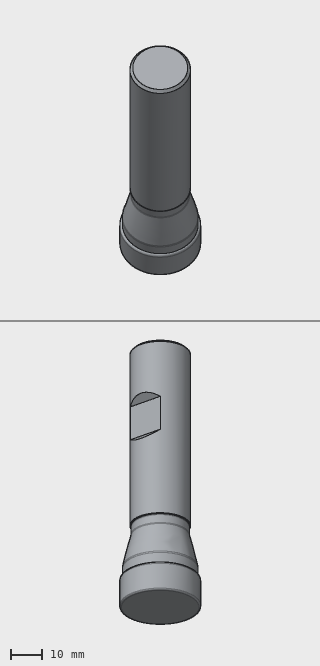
import cadquery as cq

total_height = 88.9
tip_height = 10.0
collar_top = 13.3
cone_bottom = 13.9
cone_top = 24.7
neck_bottom = 25.1
neck_top = 27.8
shank_bottom = 28.2

tip_radius = 25.4 / 2
collar_radius = 23.8 / 2
neck_radius = 18.4 / 2
shank_radius = 19.0 / 2

tip_top_fillet = tip_radius - collar_radius
tip_bottom_fillet = 0.5
shank_chamfer = 0.9
shank_bottom_chamfer = 0.2
cone_bulge = 0.1
joint_taper = 0.045

notch_depth = 2.1
notch_floor_bottom = 57.4
notch_floor_top = 68.9


def make_tip():
    """Round striking tip with rounded rims."""
    tip = cq.Workplane("XY").circle(tip_radius).extrude(tip_height)
    tip = tip.faces(">Z").edges().fillet(tip_top_fillet)
    return tip.faces("<Z").edges().fillet(tip_bottom_fillet)


def revolve_holder():
    """Turned holder: collar, slightly convex cone, neck and chamfered shank."""
    cone_bottom_radius = collar_radius - joint_taper
    cone_top_radius = neck_radius + joint_taper
    cone_middle = (
        (cone_bottom_radius + cone_top_radius) / 2 + cone_bulge,
        (cone_bottom + cone_top) / 2,
    )
    return (
        cq.Workplane("XZ")
        .moveTo(0, tip_height)
        .lineTo(collar_radius, tip_height)
        .lineTo(collar_radius, collar_top)
        .lineTo(cone_bottom_radius, cone_bottom)
        .threePointArc(cone_middle, (cone_top_radius, cone_top))
        .lineTo(neck_radius, neck_bottom)
        .lineTo(neck_radius, neck_top)
        .lineTo(neck_radius - joint_taper, shank_bottom)
        .lineTo(shank_radius - shank_bottom_chamfer, shank_bottom)
        .lineTo(shank_radius, shank_bottom + shank_bottom_chamfer)
        .lineTo(shank_radius, total_height - shank_chamfer)
        .lineTo(shank_radius - shank_chamfer, total_height)
        .lineTo(0, total_height)
        .close()
        .revolve(360, (0, 0), (0, 1))
    )


def make_notch_cutter():
    """Trapezoid across the shank that opens outward at 45 degrees."""
    floor = shank_radius - notch_depth
    return (
        cq.Workplane("YZ")
        .moveTo(floor, notch_floor_bottom)
        .lineTo(shank_radius, notch_floor_bottom - notch_depth)
        .lineTo(shank_radius, notch_floor_top + notch_depth)
        .lineTo(floor, notch_floor_top)
        .close()
        .extrude(shank_radius, both=True)
    )


tip = make_tip()
holder = revolve_holder().cut(make_notch_cutter())

result = cq.Compound.makeCompound([tip.val(), holder.val()])